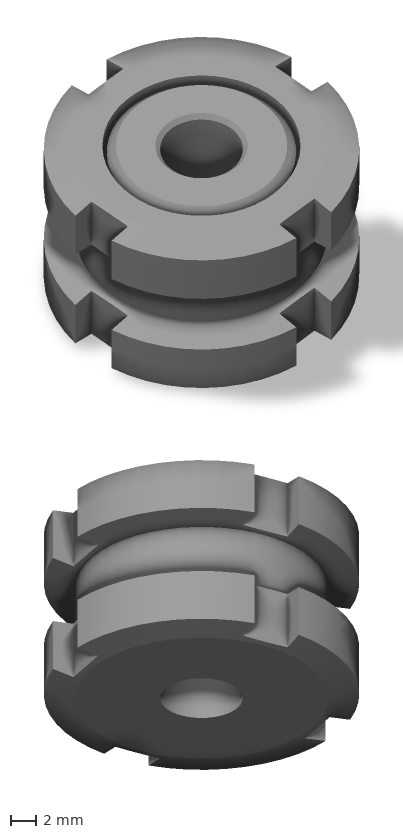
import cadquery as cq
import math

overall_width = 24.68
overall_height = 15.0

flange_height = overall_height / 3
slot_width = 4.0
slot_floor_distance = 10.5
slot_count = 4
flange_radius = math.hypot(overall_width / 2, slot_width / 2)
flange_face_radius = 10.0
flange_edge_drop = 0.35

post_radius = 7.5
post_chamfer = 0.72
bore_radius = 3.28
bore_chamfer = 0.37

collar_radius = flange_face_radius
collar_chamfer = 0.3
nut_hole_radius = 7.85

upper_flange_bottom = overall_height - flange_height


def make_flange(bottom):
    """Disc with shallow conical edges and evenly spaced spanner slots."""
    top = bottom + flange_height
    flange = (
        cq.Workplane("XZ")
        .moveTo(0, bottom)
        .lineTo(flange_face_radius, bottom)
        .lineTo(flange_radius, bottom + flange_edge_drop)
        .lineTo(flange_radius, top - flange_edge_drop)
        .lineTo(flange_face_radius, top)
        .lineTo(0, top)
        .close()
        .revolve(360, (0, 0, 0), (0, 1, 0))
    )
    slot_length = flange_radius - slot_floor_distance
    slot_cutter = cq.Workplane("XY").box(
        slot_length, slot_width, flange_height, centered=(False, True, False)
    ).translate((slot_floor_distance, 0, bottom))
    for index in range(slot_count):
        angle = index * 360 / slot_count
        flange = flange.cut(slot_cutter.rotate((0, 0, 0), (0, 0, 1), angle))
    return flange


def make_base():
    """Lower flange with a central post that ends flush with the nut."""
    post = cq.Workplane("XY").circle(post_radius).extrude(overall_height)
    post = post.faces(">Z").chamfer(post_chamfer)
    bore = cq.Workplane("XY").circle(bore_radius).extrude(overall_height)
    base = make_flange(0).union(post).cut(bore)
    bore_rim = cq.selectors.RadiusNthSelector(0)
    return base.faces(">Z").edges(bore_rim).chamfer(bore_chamfer)


def make_nut():
    """Upper flange with a collar that rests on the lower flange."""
    collar_bottom = flange_height
    collar_height = upper_flange_bottom - collar_bottom
    collar = cq.Workplane("XY", origin=(0, 0, collar_bottom)).circle(collar_radius).extrude(collar_height)
    collar = collar.faces("<Z").chamfer(collar_chamfer)
    hole = cq.Workplane("XY").circle(nut_hole_radius).extrude(overall_height)
    return make_flange(upper_flange_bottom).union(collar).cut(hole)


base = make_base()
nut = make_nut()

result = cq.Compound.makeCompound([base.solids().val(), nut.solids().val()])